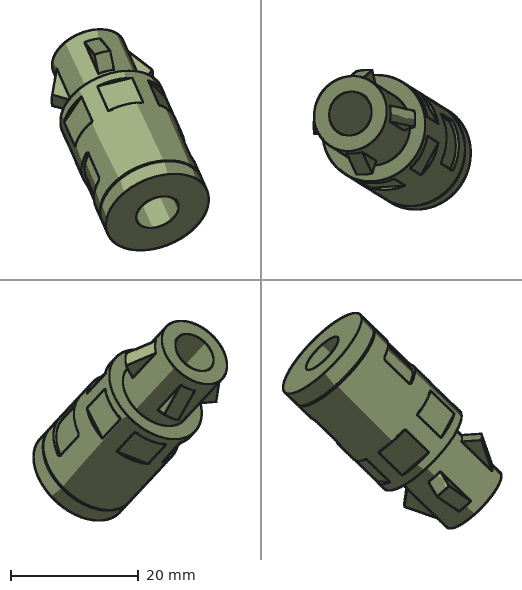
import cadquery as cq

length = 34.5
body_radius = 17.0 / 2
neck_radius = 12.0 / 2
bore_radius = 7.0 / 2
neck_length = 11.7

collar_length = 2.8
groove_width = 0.2

recess_radius = 16.0 / 2

flat_count = 6
flat_start = 13.25
flat_length = 5.4

window_start = 22.32
window_length = 6.15
window_height = 8.0
window_corner = 0.5

barb_count = 4
barb_width = 2.6
barb_start = 2.0
barb_peak = 7.0
barb_end = 8.97
barb_radius = 8.4


def cylinder(radius, start, end):
    """Solid cylinder on the X axis between two X positions."""
    return cq.Workplane("YZ", origin=(start, 0, 0)).circle(radius).extrude(end - start)


def make_barbs():
    """Double-cone collar trimmed to narrow barbs on the four axis directions."""
    collar = (
        cq.Workplane("XY")
        .moveTo(barb_start, bore_radius)
        .lineTo(barb_start, neck_radius)
        .lineTo(barb_peak, barb_radius)
        .lineTo(barb_end, neck_radius)
        .lineTo(barb_end, bore_radius)
        .close()
        .revolve(360, (0, 0, 0), (1, 0, 0))
    )
    strip = cq.Workplane("XY").box(
        length, barb_width, body_radius, centered=(False, True, False)
    )
    strips = strip
    for index in range(1, barb_count):
        strips = strips.union(strip.rotate((0, 0, 0), (1, 0, 0), index * 360 / barb_count))
    return collar.intersect(strips)


def make_flat_ring():
    """Stock outside a hexagon, with two of its sides facing up and down."""
    flat_end = flat_start + flat_length
    ring = cylinder(2 * body_radius, flat_start, flat_end)
    hexagon = (
        cq.Workplane("YZ", origin=(flat_start, 0, 0))
        .polygon(flat_count, 2 * recess_radius, circumscribed=True)
        .extrude(flat_length)
        .rotate((0, 0, 0), (1, 0, 0), 180 / flat_count)
    )
    return ring.cut(hexagon)


def make_windows():
    """Rounded rectangular recesses on both Y sides, with cylindrical floors."""
    blocks = (
        cq.Workplane("XZ")
        .center(window_start + window_length / 2, 0)
        .rect(window_length, window_height)
        .extrude(2 * body_radius, both=True)
        .edges("|Y")
        .fillet(window_corner)
    )
    return blocks.cut(cylinder(recess_radius, 0, length))


def make_groove():
    """Thin ring just ahead of the end collar."""
    groove_end = length - collar_length
    groove_start = groove_end - groove_width
    outer = cylinder(2 * body_radius, groove_start, groove_end)
    return outer.cut(cylinder(recess_radius, groove_start, groove_end))


neck = cylinder(neck_radius, 0, neck_length)
body = cylinder(body_radius, neck_length, length)
result = (
    neck.union(body)
    .union(make_barbs())
    .cut(make_flat_ring())
    .cut(make_windows())
    .cut(make_groove())
    .cut(cylinder(bore_radius, 0, length))
)